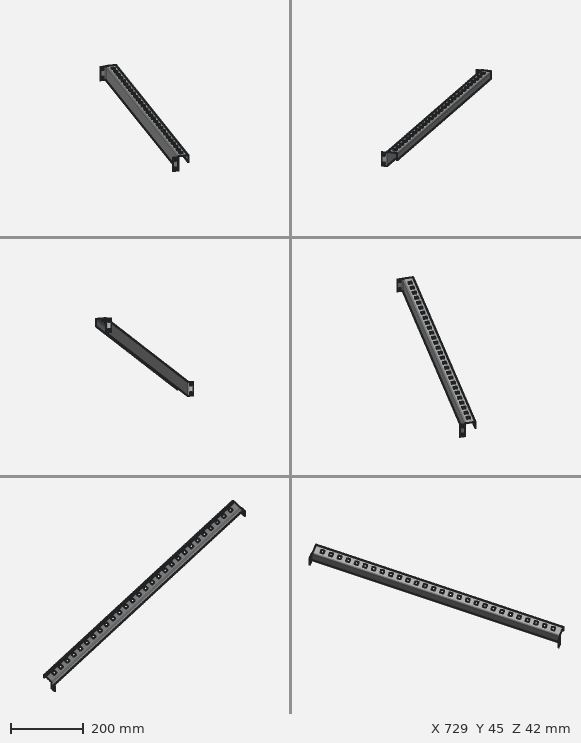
import cadquery as cq

length = 729.0
depth = 45.0
height = 42.0

sheet = 1.5
inner_radius = 1.0
outer_radius = inner_radius + sheet

inner_depth = 28.0
channel_depth = inner_depth + 2 * sheet
lip_height = 22.0
half_channel = length / 2 - outer_radius

hole_count = 28
hole_row_span = 675.0
hole_pitch = hole_row_span / (hole_count - 1)
hole_gap = 16.0
hole_side = hole_pitch - hole_gap

tab_hole_diameter = 6.5
tab_hole_inset = 6.5
tab_hole_end_distance = 7.0

rear = depth / 2
front = -depth / 2
web_front = rear - channel_depth
tab_top = height - outer_radius
half_length = length / 2


def channel():
    """Bent channel section, running along X."""
    profile = (
        cq.Workplane("YZ", origin=(-half_channel, 0, 0))
        .moveTo(rear, height - lip_height)
        .lineTo(rear, height - outer_radius)
        .radiusArc((rear - outer_radius, height), -outer_radius)
        .lineTo(web_front + outer_radius, height)
        .radiusArc((web_front, height - outer_radius), -outer_radius)
        .lineTo(web_front, 0)
        .lineTo(web_front + sheet, 0)
        .lineTo(web_front + sheet, height - outer_radius)
        .radiusArc((web_front + outer_radius, height - sheet), inner_radius)
        .lineTo(rear - outer_radius, height - sheet)
        .radiusArc((rear - sheet, height - outer_radius), inner_radius)
        .lineTo(rear - sheet, height - lip_height)
        .close()
    )
    return profile.extrude(2 * half_channel)


def left_tab():
    """Left mounting tab with its bend and two holes."""
    bend_front = web_front + sheet - outer_radius
    tab = (
        cq.Workplane("XY")
        .moveTo(-half_length, front)
        .lineTo(-half_length, bend_front)
        .radiusArc((-half_channel, web_front + sheet), outer_radius)
        .lineTo(-half_channel, web_front)
        .radiusArc((-half_length + sheet, bend_front), -inner_radius)
        .lineTo(-half_length + sheet, front)
        .close()
        .extrude(tab_top)
    )
    holes = (
        cq.Workplane("YZ", origin=(-half_length, 0, 0))
        .pushPoints(
            [
                (front + tab_hole_inset, tab_hole_end_distance),
                (front + tab_hole_inset, tab_top - tab_hole_end_distance),
            ]
        )
        .circle(tab_hole_diameter / 2)
        .extrude(sheet)
    )
    return tab.cut(holes)


def flange_holes():
    """Square cutters for the row of holes along the middle of the top flange."""
    return (
        cq.Workplane("XY", origin=(0, rear - channel_depth / 2, height - sheet))
        .rarray(hole_pitch, 7, hole_count, 1)
        .rect(hole_side, hole_side)
        .extrude(sheet)
    )


left = left_tab()
right = left.mirror("YZ")
result = channel().cut(flange_holes()).union(left).union(right)